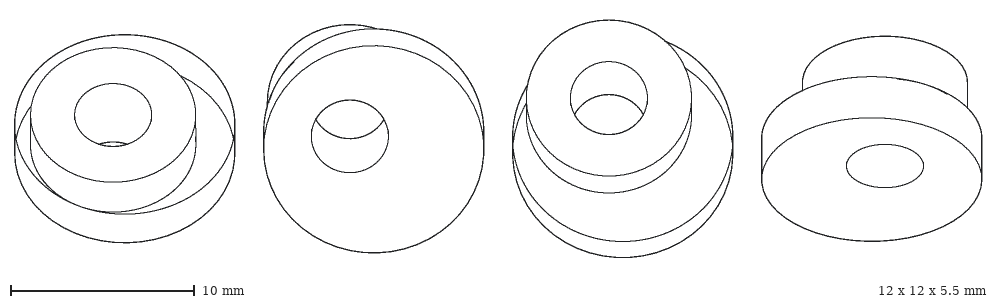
import cadquery as cq

flange_diameter = 12.0
boss_diameter = 9.0
bore_diameter = 4.2
flange_height = 2.7
total_height = 5.5

boss_y = (boss_diameter - flange_diameter) / 2

flange = cq.Workplane("XY").circle(flange_diameter / 2).extrude(flange_height)

boss = cq.Workplane("XY").center(0, boss_y).circle(boss_diameter / 2).extrude(total_height)

bore = cq.Workplane("XY").center(0, boss_y).circle(bore_diameter / 2).extrude(total_height)

result = flange.union(boss).cut(bore)